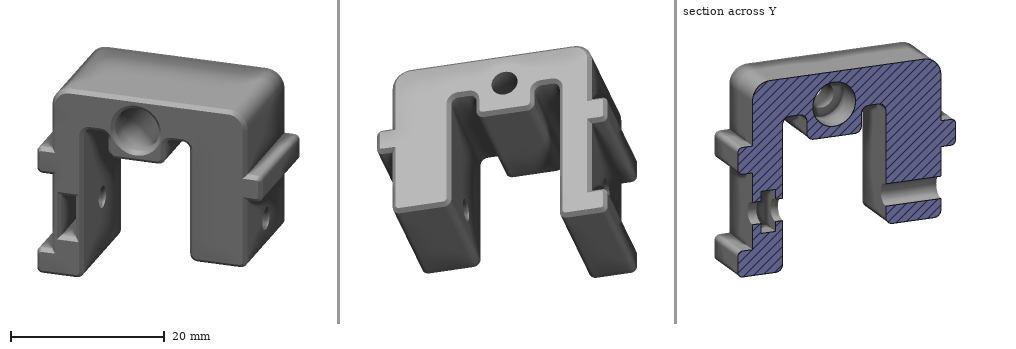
import cadquery as cq
import math

depth = 15.8
body_half_width = 13.4
total_height = 26.48
top_corner_radius = 2.5
edge_chamfer = 0.5

gap_width = 14.6
gap_center_x = -1.78
gap_left = gap_center_x - gap_width / 2
gap_right = gap_center_x + gap_width / 2
gap_roof_z = -5.35
corner_radius = 1.0

right_leg_bottom_z = -22.0
left_leg_bottom_z = -total_height

rail_half_width = 15.5
rail_thickness = 3.62
left_rail_thickness = 3.75
rail_radius = 0.75
rail_bottom_z = -12.4
rail_top_z = rail_bottom_z + rail_thickness
left_rail_top_z = rail_bottom_z + left_rail_thickness
foot_top_z = left_leg_bottom_z + rail_thickness

boss_width = 7.8
boss_left = gap_center_x - boss_width / 2
boss_right = gap_center_x + boss_width / 2
boss_bottom_z = -8.95
bore_z = -4.5
hole_diameter = 3.5
counterbore_diameter = 6.0
counterbore_depth = 12.0

cross_hole_diameter = 3.0
cross_hole_z = -17.95
nut_pocket_width = 2.0
nut_pocket_height = 5.7
nut_pocket_center_x = -11.15
nut_clearance_past_center = nut_pocket_height / 2
nut_pocket_depth = depth / 2 + nut_clearance_past_center

SHARP = 0
CHAMFER_ANGLE = 45


def start_point(corners):
    """Midpoint of the side that joins the last corner to the first."""
    return tuple((a + b) / 2 for a, b in zip(corners[-1][:2], corners[0][:2]))


def toward(start, end, distance):
    """Point at the given distance from start on the line to end."""
    length = math.dist(start, end)
    return tuple(s + (e - s) * distance / length for s, e in zip(start, end))


def rounded_outline(corners):
    """Closed XZ outline from right-angled corners given as (x, z, radius)."""
    outline = cq.Workplane("XZ").moveTo(*start_point(corners))
    for i, (x, z, radius) in enumerate(corners):
        corner = (x, z)
        before = corners[i - 1][:2]
        after = corners[(i + 1) % len(corners)][:2]
        arc_start = toward(corner, before, radius)
        outline = outline.lineTo(*arc_start)
        if radius > 0:
            arc_end = toward(corner, after, radius)
            arc_center = (arc_start[0] + arc_end[0] - x, arc_start[1] + arc_end[1] - z)
            outline = outline.threePointArc(toward(arc_center, corner, radius), arc_end)
    return outline.close()


def make_body():
    """Bracket profile extruded along Y, chamfered around both end faces."""
    corners = [
        (body_half_width, 0, top_corner_radius),
        (body_half_width, rail_top_z, SHARP),
        (rail_half_width, rail_top_z, rail_radius),
        (rail_half_width, rail_bottom_z, rail_radius),
        (body_half_width, rail_bottom_z, SHARP),
        (body_half_width, right_leg_bottom_z, corner_radius),
        (gap_right, right_leg_bottom_z, corner_radius),
        (gap_right, gap_roof_z, corner_radius),
        (boss_right, gap_roof_z, corner_radius),
        (boss_right, boss_bottom_z, corner_radius),
        (boss_left, boss_bottom_z, corner_radius),
        (boss_left, gap_roof_z, corner_radius),
        (gap_left, gap_roof_z, corner_radius),
        (gap_left, left_leg_bottom_z, corner_radius),
        (-rail_half_width, left_leg_bottom_z, rail_radius),
        (-rail_half_width, foot_top_z, rail_radius),
        (-body_half_width, foot_top_z, SHARP),
        (-body_half_width, rail_bottom_z, SHARP),
        (-rail_half_width, rail_bottom_z, rail_radius),
        (-rail_half_width, left_rail_top_z, rail_radius),
        (-body_half_width, left_rail_top_z, SHARP),
        (-body_half_width, 0, top_corner_radius),
    ]
    body = rounded_outline(corners).extrude(-depth)
    return body.faces("<Y or >Y").chamfer(edge_chamfer)


def make_boss_hole():
    """Through hole with a counterbore whose mouth is chamfered at the front."""
    axis = cq.Workplane("XZ").center(gap_center_x, bore_z)
    through = axis.circle(hole_diameter / 2).extrude(-depth)
    counterbore = axis.circle(counterbore_diameter / 2).extrude(-counterbore_depth)
    mouth_radius = counterbore_diameter / 2 + edge_chamfer
    mouth = axis.circle(mouth_radius).extrude(-edge_chamfer, taper=CHAMFER_ANGLE)
    return through.union(counterbore).union(mouth)


def make_cross_hole():
    """Hole along X through both legs."""
    plane = cq.Workplane("YZ", origin=(-rail_half_width, depth / 2, cross_hole_z))
    return plane.circle(cross_hole_diameter / 2).extrude(2 * rail_half_width)


def make_nut_pocket():
    """Rectangular pocket from the front of the left leg with a chamfered mouth."""
    plane = cq.Workplane("XZ").center(nut_pocket_center_x, cross_hole_z)
    pocket = plane.rect(nut_pocket_width, nut_pocket_height).extrude(-nut_pocket_depth)
    mouth_width = nut_pocket_width + 2 * edge_chamfer
    mouth_height = nut_pocket_height + 2 * edge_chamfer
    mouth = plane.rect(mouth_width, mouth_height).extrude(-edge_chamfer, taper=CHAMFER_ANGLE)
    return pocket.union(mouth)


result = make_body().cut(make_boss_hole()).cut(make_cross_hole()).cut(make_nut_pocket())